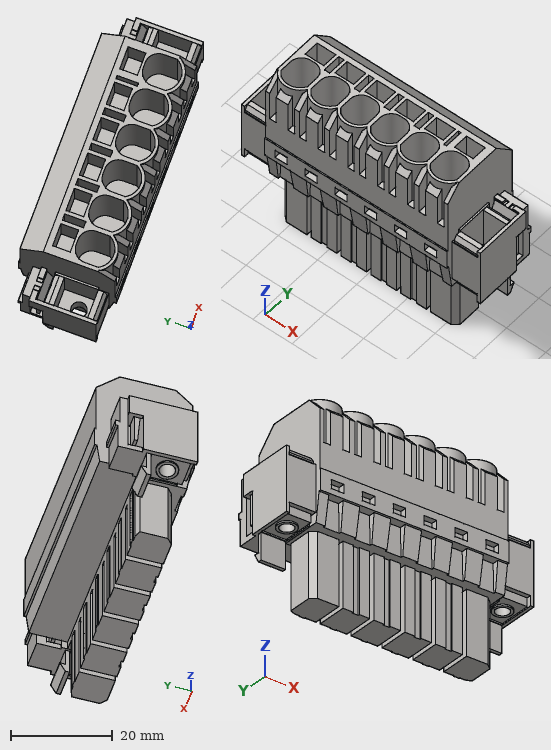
import cadquery as cq
import math

TOTAL_LENGTH = 60.95
POLE_COUNT = 6
POLE_PITCH = 7.6
HOUSING_LENGTH = 46.45
HOUSING_TOP = 44.7
HOUSING_HALF_DEPTH = 10.0
BODY_BOTTOM = 15.4
REAR_BOTTOM = 17.5
POLE_CENTERS = [(i - (POLE_COUNT - 1) / 2) * POLE_PITCH for i in range(POLE_COUNT)]
GAP_CENTERS = [x + POLE_PITCH / 2 for x in POLE_CENTERS[:-1]]

REAR_CHAMFER = 4.95
FRONT_CHAMFER = 3.5
BAND_PROUD = 0.3
BAND_BOTTOM = 22.2
BAND_TOP = 27.25
FRONT_TAPER_TOP_Y = -9.75
FRONT_TAPER_BOTTOM_Y = -8.8
REAR_TAPER_TOP_Y = 9.8
REAR_TAPER_BOTTOM_Y = 9.25

FUNNEL_Y = -4.3
FUNNEL_RADIUS = 4.5
BORE_RADIUS = 3.85
BORE_WIDTH = 6.7
BORE_CORNER_RADIUS = 2.85
BORE_DEPTH = 18.3
RELIEF_BOTTOM = 33.65
RELIEF_WIDTH = 6.35
RIB_WIDTH = 3.05

POCKET_REAR_Y = 3.8
POCKET_SIZE_X = 4.75
POCKET_SIZE_Y = 3.7
POCKET_DEPTH = 9.15
SLOT_WIDTH = 1.35
SLOT_LENGTH = 4.45
SLOT_DEPTH = 9.15
WINDOW_WIDTH = 3.05
WINDOW_BOTTOM = 23.5
WINDOW_HEIGHT = 2.1
WINDOW_DEPTH = 1.5

RECESS_TOP_WIDTH = 3.55
RECESS_BOTTOM_WIDTH = 3.9
RECESS_Y = -8.2

LEG_WIDTH = 6.6
LEG_FRONT_Y = -6.3
LEG_REAR_Y = 1.2
LEG_CHAMFER_X = 1.35
LEG_FRONT_CHAMFER_Y = 1.15
LEG_REAR_CHAMFER_Y = 0.55
LEG_GROOVE_WIDTH = 1.45
LEG_GROOVE_DEPTH = 0.35
LEG_RIB_PROUD = 0.2

FLANGE_INNER_X = HOUSING_LENGTH / 2
FLANGE_OUTER_X = TOTAL_LENGTH / 2
CAVITY_INNER_X = 23.65
CAVITY_OUTER_X = 29.7
PLATE_TOP = 30.65
BOX_TOP = 30.5
FLANGE_FRONT_Y = -8.7
BOX_REAR_Y = 2.5
BOX_BOTTOM = 15.8
CAVITY_FRONT_Y = -6.65
CAVITY_REAR_Y = 0.5
FLOOR_TOP = 20.1
FRONT_LAND_Y = -7.8
FRONT_BEVEL_BOTTOM = 29.4
FRONT_LEDGE_Z = 28.85
FRONT_LEDGE_DEPTH = 0.2
REAR_WALL_CHAMFER = 1.0
FOOT_NOTCH_TOP = 17.8
FOOT_NOTCH_Y = -7.6
SCREW_HOLE_X = 26.6
SCREW_HOLE_Y = -3.65
SCREW_HOLE_DIAMETER = 3.25
SCREW_COLLAR_DIAMETER = 4.5

GUIDE_BOTTOM = 25.55
GUIDE_REAR_Y = 5.4
GUIDE_FRONT_Y = 4.25
GUIDE_TIP_DROP = 0.6
GUIDE_TIP_INNER = 0.75
GUIDE_TIP_OUTER = 0.9
WEB_INNER_X = 26.15
WEB_OUTER_X = 27.05

LEVER_REAR_Y = 7.1
LEVER_FOOT_REAR_Y = 7.5
LEVER_KNOB_REAR_Y = 8.0
LEVER_KNOB_BOTTOM = 21.7
LEVER_KNOB_TOP = 23.15
LEVER_FOOT_TOP = 16.75
LEVER_FRONT_TOP_Y = 4.0
LEVER_FRONT_BULGE_Y = 2.8
LEVER_BULGE_Z = 27.45
LEVER_FRONT_BOTTOM_Y = 3.6
LEVER_PAD_REAR_Y = 4.15
LEVER_PAD_BOTTOM = 18.55
LATCH_BOTTOM = 9.0
LATCH_FRONT_Y = 0.7
LATCH_REAR_Y = 1.6
LATCH_TIP_Y = 2.75
LATCH_TIP_Z = 11.15


def box(x0, x1, y0, y1, z0, z1):
    """Axis-aligned block between two opposite corners."""
    return cq.Workplane("XY").box(x1 - x0, y1 - y0, z1 - z0, centered=False).translate((x0, y0, z0))


def centered_box(x_center, width, y0, y1, z0, z1):
    """Block centered on x_center along X."""
    return box(x_center - width / 2, x_center + width / 2, y0, y1, z0, z1)


def side_profile(points, x0, x1):
    """Extrude a (Y, Z) outline along X from x0 to x1."""
    return cq.Workplane("YZ").polyline(points).close().extrude(x1 - x0).translate((x0, 0, 0))


def housing_shell():
    outline = [
        (-HOUSING_HALF_DEPTH, HOUSING_TOP - FRONT_CHAMFER),
        (-HOUSING_HALF_DEPTH + FRONT_CHAMFER, HOUSING_TOP),
        (HOUSING_HALF_DEPTH - REAR_CHAMFER, HOUSING_TOP),
        (HOUSING_HALF_DEPTH, HOUSING_TOP - REAR_CHAMFER),
        (HOUSING_HALF_DEPTH, BAND_TOP),
        (HOUSING_HALF_DEPTH + BAND_PROUD, BAND_TOP),
        (HOUSING_HALF_DEPTH + BAND_PROUD, BAND_BOTTOM),
        (REAR_TAPER_TOP_Y, BAND_BOTTOM),
        (REAR_TAPER_BOTTOM_Y, REAR_BOTTOM),
        (LEG_REAR_Y, REAR_BOTTOM),
        (LEG_REAR_Y, BODY_BOTTOM),
        (FRONT_TAPER_BOTTOM_Y, BODY_BOTTOM),
        (FRONT_TAPER_TOP_Y, BAND_BOTTOM),
        (-HOUSING_HALF_DEPTH - BAND_PROUD, BAND_BOTTOM),
        (-HOUSING_HALF_DEPTH - BAND_PROUD, BAND_TOP),
        (-HOUSING_HALF_DEPTH, BAND_TOP),
    ]
    return side_profile(outline, -HOUSING_LENGTH / 2, HOUSING_LENGTH / 2)


def cylinder(x, y, radius, z0, z1):
    return cq.Workplane("XY", origin=(x, y, z0)).circle(radius).extrude(z1 - z0)


def funnel(x):
    """Front half of the round wall around a wire hole."""
    wall = cylinder(x, FUNNEL_Y, FUNNEL_RADIUS, RELIEF_BOTTOM, HOUSING_TOP)
    front = FUNNEL_Y - FUNNEL_RADIUS
    limits = centered_box(x, POLE_PITCH, front, FUNNEL_Y, RELIEF_BOTTOM, HOUSING_TOP)
    return wall.intersect(limits)


def funnel_relief(x):
    """Pair of front slots either side of a central rib; the funnel is added after them."""
    front = -HOUSING_HALF_DEPTH
    slots = centered_box(x, RELIEF_WIDTH, front, FUNNEL_Y, RELIEF_BOTTOM, HOUSING_TOP)
    rib = centered_box(x, RIB_WIDTH, front, FUNNEL_Y, RELIEF_BOTTOM, HOUSING_TOP)
    return slots.cut(rib)


def funnel_bore(x):
    """Wire hole with a round front, straight sides and a rounded-square rear."""
    half_width = BORE_WIDTH / 2
    front_y = FUNNEL_Y - BORE_RADIUS
    rear_y = FUNNEL_Y + BORE_RADIUS
    side_front_y = FUNNEL_Y - math.sqrt(BORE_RADIUS**2 - half_width**2)
    side_rear_y = rear_y - BORE_CORNER_RADIUS
    flat_half = half_width - BORE_CORNER_RADIUS
    return (
        cq.Workplane("XY", origin=(x, 0, HOUSING_TOP - BORE_DEPTH))
        .moveTo(-half_width, side_front_y)
        .threePointArc((0, front_y), (half_width, side_front_y))
        .lineTo(half_width, side_rear_y)
        .tangentArcPoint((flat_half, rear_y), relative=False)
        .lineTo(-flat_half, rear_y)
        .tangentArcPoint((-half_width, side_rear_y), relative=False)
        .close()
        .extrude(BORE_DEPTH)
    )


def release_pocket(x):
    front = POCKET_REAR_Y - POCKET_SIZE_Y
    return centered_box(x, POCKET_SIZE_X, front, POCKET_REAR_Y, HOUSING_TOP - POCKET_DEPTH, HOUSING_TOP)


def divider_slot(x):
    """Slot between two poles; the last one has only its inner half."""
    front = POCKET_REAR_Y - SLOT_LENGTH
    right = x if x == GAP_CENTERS[-1] else x + SLOT_WIDTH / 2
    return box(x - SLOT_WIDTH / 2, right, front, POCKET_REAR_Y, HOUSING_TOP - SLOT_DEPTH, HOUSING_TOP)


def test_window(x):
    front = -HOUSING_HALF_DEPTH - BAND_PROUD
    top = WINDOW_BOTTOM + WINDOW_HEIGHT
    return centered_box(x, WINDOW_WIDTH, front, front + WINDOW_DEPTH, WINDOW_BOTTOM, top)


def grip_recess(x):
    """Upright recess in the front taper, slightly wider at its foot."""
    outline = [
        (x - RECESS_TOP_WIDTH / 2, BAND_BOTTOM),
        (x + RECESS_TOP_WIDTH / 2, BAND_BOTTOM),
        (x + RECESS_BOTTOM_WIDTH / 2, BODY_BOTTOM),
        (x - RECESS_BOTTOM_WIDTH / 2, BODY_BOTTOM),
    ]
    depth = RECESS_Y + HOUSING_HALF_DEPTH
    return cq.Workplane("XZ", origin=(0, RECESS_Y, 0)).polyline(outline).close().extrude(depth)


def middle_leg(x):
    leg = centered_box(x, LEG_WIDTH, LEG_FRONT_Y, LEG_REAR_Y, 0, BODY_BOTTOM)
    groove_floor = LEG_FRONT_Y + LEG_GROOVE_DEPTH
    groove = centered_box(x, LEG_GROOVE_WIDTH, LEG_FRONT_Y, groove_floor, 0, BODY_BOTTOM)
    return leg.cut(groove)


def end_leg(x):
    """Leg with its two outer corners chamfered."""
    side = 1 if x > 0 else -1
    outer = x + side * LEG_WIDTH / 2
    inner = x - side * LEG_WIDTH / 2
    outline = [
        (inner, LEG_FRONT_Y),
        (outer - side * LEG_CHAMFER_X, LEG_FRONT_Y),
        (outer, LEG_FRONT_Y + LEG_FRONT_CHAMFER_Y),
        (outer, LEG_REAR_Y - LEG_REAR_CHAMFER_Y),
        (outer - side * LEG_CHAMFER_X, LEG_REAR_Y),
        (inner, LEG_REAR_Y),
    ]
    return cq.Workplane("XY").polyline(outline).close().extrude(BODY_BOTTOM)


def leg_rear_rib(x):
    return centered_box(x, LEG_GROOVE_WIDTH, LEG_REAR_Y, LEG_REAR_Y + LEG_RIB_PROUD, 0, BODY_BOTTOM)


def make_housing():
    body = housing_shell()
    for x in POLE_CENTERS:
        body = body.cut(funnel_relief(x)).union(funnel(x))
    for x in POLE_CENTERS:
        body = body.cut(funnel_bore(x)).cut(release_pocket(x))
        body = body.cut(test_window(x)).cut(grip_recess(x))
    for x in GAP_CENTERS:
        body = body.cut(divider_slot(x))
    for x in POLE_CENTERS[1:-1]:
        body = body.union(middle_leg(x))
    for x in (POLE_CENTERS[0], POLE_CENTERS[-1]):
        body = body.union(end_leg(x))
    for x in POLE_CENTERS:
        body = body.union(leg_rear_rib(x))
    return body


def flange_box():
    """Open-topped screw box with a collar around the screw hole below its floor."""
    outline = [
        (FOOT_NOTCH_Y, BOX_BOTTOM),
        (CAVITY_REAR_Y, BOX_BOTTOM),
        (CAVITY_REAR_Y, BODY_BOTTOM),
        (BOX_REAR_Y, BODY_BOTTOM),
        (BOX_REAR_Y, BOX_TOP - REAR_WALL_CHAMFER),
        (BOX_REAR_Y - REAR_WALL_CHAMFER, BOX_TOP),
        (FRONT_LAND_Y, BOX_TOP),
        (FLANGE_FRONT_Y + FRONT_LEDGE_DEPTH, FRONT_BEVEL_BOTTOM),
        (FLANGE_FRONT_Y + FRONT_LEDGE_DEPTH, FRONT_LEDGE_Z),
        (FLANGE_FRONT_Y, FRONT_LEDGE_Z),
        (FLANGE_FRONT_Y, FOOT_NOTCH_TOP),
        (FOOT_NOTCH_Y, FOOT_NOTCH_TOP),
    ]
    block = side_profile(outline, CAVITY_INNER_X, CAVITY_OUTER_X)
    cavity = box(CAVITY_INNER_X, CAVITY_OUTER_X, CAVITY_FRONT_Y, CAVITY_REAR_Y, FLOOR_TOP, BOX_TOP)
    hole = cylinder(SCREW_HOLE_X, SCREW_HOLE_Y, SCREW_HOLE_DIAMETER / 2, BODY_BOTTOM, FLOOR_TOP)
    collar = cylinder(SCREW_HOLE_X, SCREW_HOLE_Y, SCREW_COLLAR_DIAMETER / 2, BODY_BOTTOM, BOX_BOTTOM)
    return block.cut(cavity).union(collar).cut(hole)


def side_plates():
    inner = box(FLANGE_INNER_X, CAVITY_INNER_X, CAVITY_FRONT_Y, BOX_REAR_Y, BODY_BOTTOM, PLATE_TOP)
    inner_front = box(
        FLANGE_INNER_X, CAVITY_INNER_X, FLANGE_FRONT_Y, CAVITY_FRONT_Y, FOOT_NOTCH_TOP, FRONT_LEDGE_Z
    )
    outer = box(CAVITY_OUTER_X, FLANGE_OUTER_X, FLANGE_FRONT_Y, BOX_REAR_Y, BODY_BOTTOM, PLATE_TOP)
    extension = box(CAVITY_OUTER_X, FLANGE_OUTER_X, BOX_REAR_Y, GUIDE_REAR_Y, GUIDE_BOTTOM, PLATE_TOP)
    return inner.union(inner_front).union(outer).union(extension)


def lever_guides():
    """Two tabs that reach into the side grooves of the lever, with lowered tips."""
    tip_top = PLATE_TOP - GUIDE_TIP_DROP
    guides = box(FLANGE_INNER_X, FLANGE_OUTER_X, GUIDE_FRONT_Y, GUIDE_REAR_Y, GUIDE_BOTTOM, PLATE_TOP)
    tip_inner_x = WEB_INNER_X - GUIDE_TIP_INNER
    tip_outer_x = WEB_OUTER_X + GUIDE_TIP_OUTER
    tips = box(tip_inner_x, tip_outer_x, GUIDE_FRONT_Y, GUIDE_REAR_Y, tip_top, PLATE_TOP)
    return guides.cut(tips)


def lever():
    """H-section lever: rear plate, web and front pad on a common foot."""
    rear_outline = [
        (GUIDE_REAR_Y, BODY_BOTTOM),
        (LEVER_FOOT_REAR_Y, BODY_BOTTOM),
        (LEVER_FOOT_REAR_Y, LEVER_KNOB_BOTTOM),
        (LEVER_KNOB_REAR_Y, LEVER_KNOB_BOTTOM),
        (LEVER_KNOB_REAR_Y, LEVER_KNOB_TOP),
        (LEVER_REAR_Y, LEVER_KNOB_TOP),
        (LEVER_REAR_Y, BOX_TOP),
        (GUIDE_REAR_Y, BOX_TOP),
    ]
    inner_outline = [
        (LEVER_FRONT_BOTTOM_Y, LEVER_FOOT_TOP),
        (LEVER_FRONT_BULGE_Y, LEVER_BULGE_Z),
        (LEVER_FRONT_TOP_Y, BOX_TOP),
        (GUIDE_REAR_Y, BOX_TOP),
        (GUIDE_REAR_Y, LEVER_FOOT_TOP),
    ]
    rear_plate = side_profile(rear_outline, CAVITY_INNER_X, CAVITY_OUTER_X)
    foot = box(CAVITY_INNER_X, CAVITY_OUTER_X, BOX_REAR_Y, GUIDE_REAR_Y, BODY_BOTTOM, LEVER_FOOT_TOP)
    web = side_profile(inner_outline, WEB_INNER_X, WEB_OUTER_X)
    pad_limits = box(
        CAVITY_INNER_X, CAVITY_OUTER_X, LEVER_FRONT_BULGE_Y, LEVER_PAD_REAR_Y, LEVER_PAD_BOTTOM, BOX_TOP
    )
    front_pad = side_profile(inner_outline, CAVITY_INNER_X, CAVITY_OUTER_X).intersect(pad_limits)
    return rear_plate.union(foot).union(web).union(front_pad)


def latch():
    """Hooked tongue below the flange."""
    outline = [
        (LATCH_FRONT_Y, LATCH_BOTTOM),
        (LATCH_REAR_Y, LATCH_BOTTOM),
        (LATCH_TIP_Y, LATCH_TIP_Z),
        (LATCH_REAR_Y, LATCH_TIP_Z),
        (LATCH_REAR_Y, BODY_BOTTOM),
        (LATCH_FRONT_Y, BODY_BOTTOM),
    ]
    return side_profile(outline, CAVITY_INNER_X, CAVITY_OUTER_X)


def make_flange():
    """Flange on the +X side of the housing."""
    return flange_box().union(side_plates()).union(lever_guides()).union(lever()).union(latch())


housing = make_housing()
right_flange = make_flange()
left_flange = right_flange.mirror("YZ")

result = cq.Compound.makeCompound([
    housing.solids().val(),
    right_flange.solids().val(),
    left_flange.solids().val(),
])